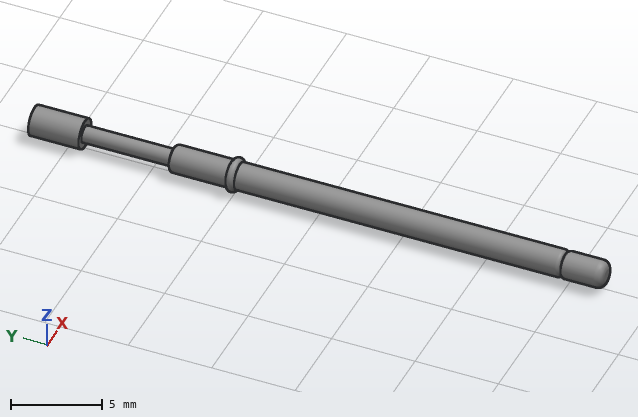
import cadquery as cq

total_length = 34.3

head_diameter = 1.8
stem_diameter = 1.0
barrel_diameter = 1.6
collar_diameter = 2.0

head_length = 3.02
stem_length = 5.28
mouth_to_collar = 3.45
collar_width = 0.55
tail_length = 2.55

edge_round = 0.25
tail_round = 0.45

head_start = total_length - head_length
mouth = head_start - stem_length
collar_front = mouth - mouth_to_collar
collar_middle = collar_front - collar_width / 2


def cylinder(diameter, start, end):
    """Solid cylinder on the Y axis from start to end."""
    return cq.Workplane("XZ", origin=(0, end, 0)).circle(diameter / 2).extrude(end - start)


def make_plunger():
    """Wide head on a thin stem, the stem reaching back into the barrel."""
    head = cylinder(head_diameter, head_start, total_length)
    stem = cylinder(stem_diameter, collar_middle, head_start)
    return head.union(stem)


def make_barrel():
    """Long tube and short tail whose rounded ends meet in a crimp groove."""
    tube = cylinder(barrel_diameter, tail_length, mouth).edges().fillet(edge_round)
    tail = cylinder(barrel_diameter, 0, tail_length)
    tail = tail.faces(">Y").edges().fillet(edge_round)
    tail = tail.faces("<Y").edges().fillet(tail_round)
    return tube.union(tail)


def make_collar():
    """Press ring with a half-round rim that sinks into the barrel."""
    rim_radius = collar_width / 2
    rim_center = collar_diameter / 2 - rim_radius
    collar_back = collar_front - collar_width
    return (
        cq.Workplane("XY")
        .moveTo(0, collar_back)
        .lineTo(rim_center, collar_back)
        .threePointArc((collar_diameter / 2, collar_middle), (rim_center, collar_front))
        .lineTo(0, collar_front)
        .close()
        .revolve(360, (0, 0, 0), (0, 1, 0))
    )


result = make_barrel().union(make_collar()).union(make_plunger())